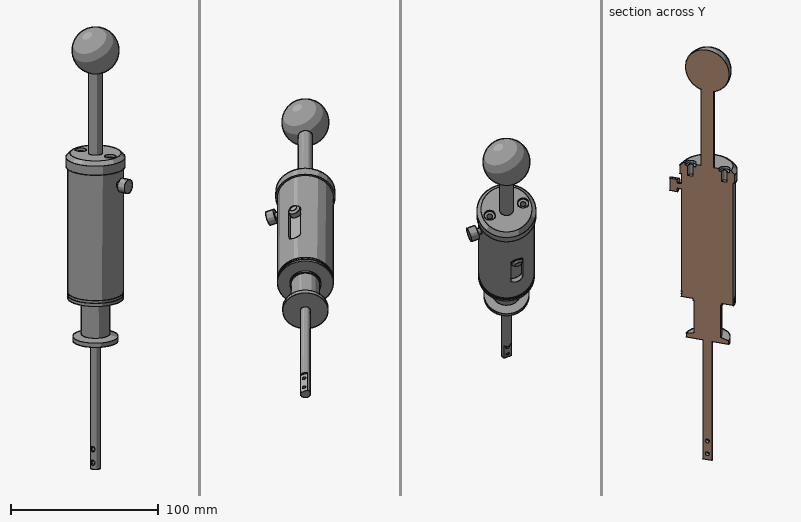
import cadquery as cq

total_length = 313.5

ball_diameter = 32.0
upper_rod_diameter = 9.7

cap_diameter = 40.0
cap_top = 224.5
cap_bottom = 215.0
cap_chamfer = 2.8
body_diameter = 38.0
body_bottom = 121.5

groove_bottom = 123.5
groove_width = 2.0
groove_depth = 0.3

cap_hole_offset = 12.2
counterbore_diameter = 7.5
counterbore_depth = 2.0
cap_hole_diameter = 3.8
cap_hole_depth = cap_top - cap_bottom

neck_diameter = 19.5
collar_diameter = 21.0
collar_height = 1.5

cone_top = 95.5
flange_diameter = 30.7
flange_top = 94.0
flange_bottom = 91.0

lower_rod_diameter = 7.0
flat_height = 18.8
flat_depth = 1.3
tip_hole_diameter = 2.5
tip_countersink_diameter = 3.8
tip_countersink_depth = 1.0
tip_hole_heights = (4.7, 14.5)

thumb_screw_height = 205.7
thumb_shank_diameter = 4.5
thumb_head_diameter = 9.7
thumb_head_thickness = 5.5
thumb_screw_reach = 27.3

slot_width = 8.8
slot_depth = 3.0
slot_bottom = 148.3
guide_screw_height = 178.8
guide_head_diameter = 8.0
guide_head_chamfer = 1.5
guide_screw_reach = 21.0


def cylinder(diameter, bottom, top):
    """Upright cylinder on the Z axis between two heights."""
    return cq.Workplane("XY").workplane(offset=bottom).circle(diameter / 2).extrude(top - bottom)


def make_housing():
    cap = cylinder(cap_diameter, cap_bottom, cap_top).faces(">Z").chamfer(cap_chamfer)
    body = cylinder(body_diameter, body_bottom, cap_bottom)
    groove_top = groove_bottom + groove_width
    groove_core = cylinder(body_diameter - 2 * groove_depth, groove_bottom, groove_top)
    groove = cylinder(cap_diameter, groove_bottom, groove_top).cut(groove_core)
    return cap.union(body).cut(groove)


def make_neck_and_flange():
    neck = cylinder(neck_diameter, flange_bottom, body_bottom)
    collar = cylinder(collar_diameter, body_bottom - collar_height, body_bottom)
    flange_profile = [
        (0, flange_bottom),
        (flange_diameter / 2, flange_bottom),
        (flange_diameter / 2, flange_top),
        (neck_diameter / 2, cone_top),
        (0, cone_top),
    ]
    flange = cq.Workplane("XZ").polyline(flange_profile).close().revolve(360, (0, 0), (0, 1))
    return neck.union(collar).union(flange)


def make_upper_rod_and_ball():
    ball_center = total_length - ball_diameter / 2
    ball = cq.Workplane("XY").sphere(ball_diameter / 2).translate((0, 0, ball_center))
    return cylinder(upper_rod_diameter, cap_bottom, ball_center).union(ball)


def make_tip_hole(height):
    """Cutter for one hole through the rod: a straight bore with a cone opening toward -Y."""
    rod_radius = lower_rod_diameter / 2
    profile = [
        (0, -rod_radius),
        (tip_countersink_diameter / 2, -rod_radius),
        (tip_hole_diameter / 2, tip_countersink_depth - rod_radius),
        (tip_hole_diameter / 2, rod_radius),
        (0, rod_radius),
    ]
    cutter = cq.Workplane("XY").polyline(profile).close().revolve(360, (0, 0), (0, 1))
    return cutter.translate((0, 0, height))


def make_lower_rod():
    rod = cylinder(lower_rod_diameter, 0, flange_top)
    flat_y = lower_rod_diameter / 2 - flat_depth
    flat_cut = (
        cq.Workplane("XY")
        .box(lower_rod_diameter, lower_rod_diameter, flat_height, centered=(True, False, False))
        .translate((0, flat_y, 0))
    )
    for height in tip_hole_heights:
        rod = rod.cut(make_tip_hole(height))
    return rod.cut(flat_cut)


def drill_cap_holes(part):
    return (
        part.faces(cq.selectors.NearestToPointSelector((cap_hole_offset, 0, cap_top)))
        .workplane(origin=(0, 0, cap_top))
        .pushPoints([(-cap_hole_offset, 0), (cap_hole_offset, 0)])
        .cboreHole(cap_hole_diameter, counterbore_diameter, counterbore_depth, cap_hole_depth)
    )


def make_thumb_screw():
    shank = (
        cq.Workplane("YZ")
        .center(0, thumb_screw_height)
        .circle(thumb_shank_diameter / 2)
        .extrude(thumb_screw_reach)
    )
    head = (
        cq.Workplane("YZ", origin=(thumb_screw_reach - thumb_head_thickness, 0, 0))
        .center(0, thumb_screw_height)
        .circle(thumb_head_diameter / 2)
        .extrude(thumb_head_thickness)
    )
    return shank.union(head)


def make_slot():
    slot_top = guide_screw_height + slot_width / 2
    slot_floor = body_diameter / 2 - slot_depth
    return (
        cq.Workplane("XZ", origin=(0, slot_floor, 0))
        .center(0, (slot_bottom + slot_top) / 2)
        .slot2D(slot_top - slot_bottom, slot_width, 90)
        .extrude(-cap_diameter / 2)
    )


def make_guide_screw():
    return (
        cq.Workplane("XZ")
        .center(0, guide_screw_height)
        .circle(guide_head_diameter / 2)
        .extrude(-guide_screw_reach)
        .faces(">Y")
        .chamfer(guide_head_chamfer)
    )


housing = drill_cap_holes(make_housing()).cut(make_slot())
result = (
    housing.union(make_guide_screw())
    .union(make_thumb_screw())
    .union(make_neck_and_flange())
    .union(make_lower_rod())
    .union(make_upper_rod_and_ball())
)